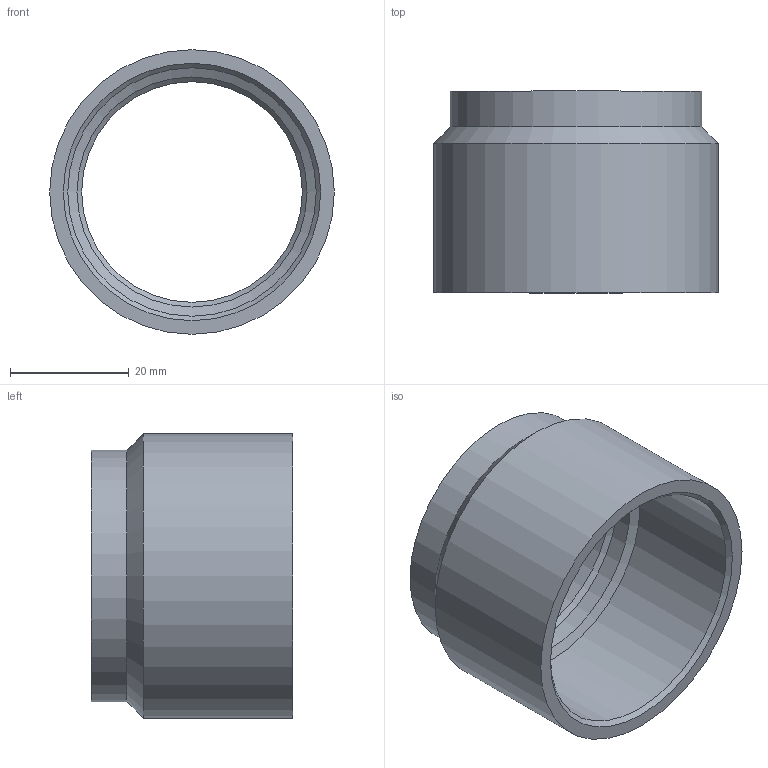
import cadquery as cq

total_length = 34.0
body_radius = 24.0
neck_radius = 21.2
neck_length = 6.0
shoulder_length = body_radius - neck_radius
neck_start = total_length - neck_length
body_length = neck_start - shoulder_length

mouth_radius = 21.7
main_bore_radius = 20.95
mouth_depth = mouth_radius - main_bore_radius
main_bore_end = 21.3
middle_bore_radius = 19.4
first_taper_length = 0.8
middle_bore_end = 25.2
through_bore_radius = 18.6
second_taper_length = middle_bore_radius - through_bore_radius


def sleeve_half_section():
    """Closed wall outline in the XY plane, where X is the radius and Y the axis."""
    return (
        cq.Workplane("XY")
        .moveTo(mouth_radius, 0)
        .lineTo(body_radius, 0)
        .lineTo(body_radius, body_length)
        .lineTo(neck_radius, neck_start)
        .lineTo(neck_radius, total_length)
        .lineTo(through_bore_radius, total_length)
        .lineTo(through_bore_radius, middle_bore_end + second_taper_length)
        .lineTo(middle_bore_radius, middle_bore_end)
        .lineTo(middle_bore_radius, main_bore_end + first_taper_length)
        .lineTo(main_bore_radius, main_bore_end)
        .lineTo(main_bore_radius, mouth_depth)
        .close()
    )


axis_start = (0, 0, 0)
axis_end = (0, 1, 0)
result = sleeve_half_section().revolve(axisStart=axis_start, axisEnd=axis_end)